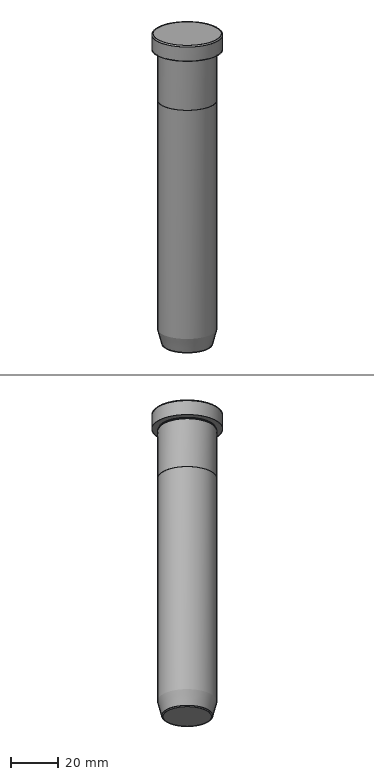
import cadquery as cq
import math

total_length = 140.0
head_diameter = 30.0
head_thickness = 7.0
head_chamfer = 0.5
shank_diameter = 25.0

collar_length = 30.0

groove_width = 0.8
groove_depth = 0.4

taper_length = 7.0
taper_angle = 15.0
tip_chamfer = 0.4

head_radius = head_diameter / 2
shank_radius = shank_diameter / 2
joint_z = total_length - collar_length
head_bottom_z = total_length - head_thickness
tip_radius = shank_radius - taper_length * math.tan(math.radians(taper_angle))


def make_headed_collar():
    """Head with a chamfered rim, relief groove and upper part of the shank."""
    shank = cq.Workplane("XY").workplane(offset=joint_z).circle(shank_radius).extrude(
        collar_length - head_thickness
    )
    head = (
        cq.Workplane("XY")
        .workplane(offset=head_bottom_z)
        .circle(head_radius)
        .extrude(head_thickness)
        .faces(">Z")
        .chamfer(head_chamfer)
    )
    return shank.cut(make_relief_groove()).union(head)


def make_relief_groove():
    """Ring whose lower wall slopes at 45 degrees out to the shank surface."""
    groove_radius = shank_radius - groove_depth
    groove_bottom_z = head_bottom_z - groove_width
    return (
        cq.Workplane("XZ")
        .moveTo(groove_radius, head_bottom_z)
        .lineTo(shank_radius, head_bottom_z)
        .lineTo(shank_radius, groove_bottom_z)
        .lineTo(groove_radius, groove_bottom_z + groove_depth)
        .close()
        .revolve(360, (0, 0, 0), (0, 1, 0))
    )


def make_guide_pin():
    """Lower part of the shank with a conical lead-in and a chamfered tip."""
    cone = cq.Workplane("XY").circle(tip_radius).extrude(taper_length, taper=-taper_angle)
    pin = cq.Workplane("XY").workplane(offset=taper_length).circle(shank_radius).extrude(
        joint_z - taper_length
    )
    return pin.union(cone).faces("<Z").chamfer(tip_chamfer)


headed_collar = make_headed_collar()
guide_pin = make_guide_pin()

result = cq.Compound.makeCompound([headed_collar.val(), guide_pin.val()])